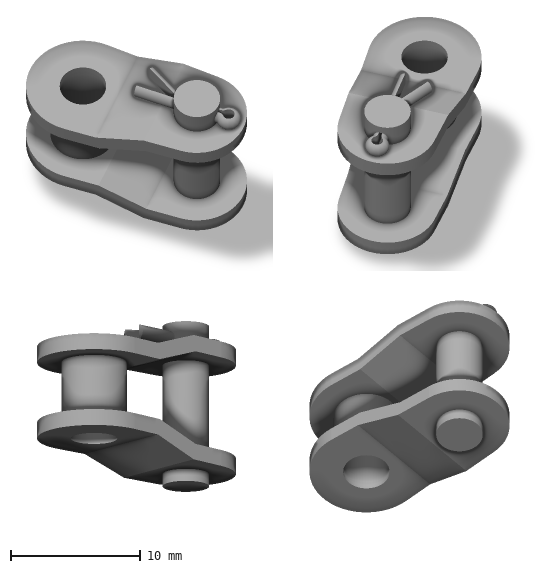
import cadquery as cq
import math

overall_length = 17.79
overall_width = 8.8
pitch = 9.52

plate_thickness = 1.26
wide_end_radius = overall_width / 2
narrow_end_radius = overall_length - pitch - wide_end_radius
bend_start_x = 2.83
bend_end_x = 6.72
plate_rise = 1.3

bushing_height = 4.77
bushing_radius = 2.53
bore_radius = 1.8

pin_radius = 1.8
pin_bottom_z = -5.9
pin_height = 12.7

wire_radius = 0.6
leg_flat_offset = 0.133
straight_leg_reach = 3.2
spread_leg_reach = 3.33
leg_spread_angle = 30.0
eye_outer_radius = 0.93
eye_offset = 2.65
eye_bend_clearance = 0.02

inner_face_z = bushing_height / 2
outer_face_z = inner_face_z + plate_thickness
cotter_z = outer_face_z + plate_rise + wire_radius
eye_bend_y = wire_radius + eye_bend_clearance
eye_bend_distance = eye_outer_radius + eye_bend_clearance
eye_joint_angle = math.degrees(math.asin(eye_bend_y / eye_bend_distance))
leg_end_x = eye_offset - eye_bend_distance * math.cos(math.radians(eye_joint_angle))


def make_plate():
    """Upper cranked plate with a bore at each end."""
    bend_angle = math.atan2(plate_rise, bend_end_x - bend_start_x)
    bend_shift = plate_thickness * math.tan(bend_angle / 2)
    start_x = -wide_end_radius
    end_x = pitch + narrow_end_radius
    side_profile = (
        cq.Workplane("XZ")
        .moveTo(start_x, inner_face_z)
        .lineTo(bend_start_x + bend_shift, inner_face_z)
        .lineTo(bend_end_x + bend_shift, inner_face_z + plate_rise)
        .lineTo(end_x, inner_face_z + plate_rise)
        .lineTo(end_x, outer_face_z + plate_rise)
        .lineTo(bend_end_x, outer_face_z + plate_rise)
        .lineTo(bend_start_x, outer_face_z)
        .lineTo(start_x, outer_face_z)
        .close()
        .extrude(wide_end_radius, both=True)
    )

    taper_sine = (wide_end_radius - narrow_end_radius) / pitch
    taper_cosine = math.sqrt(1 - taper_sine**2)
    wide_x = wide_end_radius * taper_sine
    wide_y = wide_end_radius * taper_cosine
    narrow_x = pitch + narrow_end_radius * taper_sine
    narrow_y = narrow_end_radius * taper_cosine
    plan = (
        cq.Workplane("XY")
        .moveTo(wide_x, wide_y)
        .threePointArc((start_x, 0), (wide_x, -wide_y))
        .lineTo(narrow_x, -narrow_y)
        .threePointArc((end_x, 0), (narrow_x, narrow_y))
        .close()
        .extrude(outer_face_z + plate_rise)
    )
    bushing_bore = cq.Workplane("XY").circle(bore_radius).extrude(pin_height)
    pin_bore = cq.Workplane("XY").center(pitch, 0).circle(pin_radius).extrude(pin_height)
    return side_profile.intersect(plan).cut(bushing_bore).cut(pin_bore)


def make_bushing():
    """Plain tube held between the plates."""
    return (
        cq.Workplane("XY")
        .workplane(offset=-inner_face_z)
        .circle(bushing_radius)
        .circle(bore_radius)
        .extrude(bushing_height)
    )


def wire_section(x):
    """Circular segment on the +Y side of the cotter centre plane, normal to X."""
    half_chord = math.sqrt(wire_radius**2 - leg_flat_offset**2)
    return (
        cq.Workplane("YZ", origin=(x, 0, 0))
        .moveTo(leg_flat_offset, -half_chord)
        .threePointArc((wire_radius, 0), (leg_flat_offset, half_chord))
        .close()
    )


def make_leg(reach, spread_angle):
    """Leg on the +Y side, bent outward at the pin surface, with its bend into the eye."""
    inside = wire_section(-pin_radius).extrude(pin_radius + leg_end_x)
    outside = (
        wire_section(-pin_radius)
        .extrude(-reach)
        .rotate(
            (-pin_radius, leg_flat_offset, 0),
            (-pin_radius, leg_flat_offset, 1),
            -spread_angle,
        )
    )
    eye_bend = wire_section(leg_end_x).revolve(
        90 - eye_joint_angle, (eye_bend_y, 0), (eye_bend_y, 1)
    )
    return inside.union(outside).union(eye_bend)


def make_eye():
    """Open ring of the wire section, with its gap facing the pin."""
    eye_axis_y = wire_radius - eye_outer_radius
    ring_angle = 360 - 2 * eye_joint_angle
    return (
        wire_section(eye_offset)
        .revolve(ring_angle, (eye_axis_y, 0), (eye_axis_y, -1))
        .translate((0, -eye_axis_y, 0))
        .rotate((eye_offset, 0, 0), (eye_offset, 0, 1), 90 - eye_joint_angle)
    )


def make_cotter():
    """Split cotter with one straight leg and one spread leg."""
    spread_leg = make_leg(spread_leg_reach, leg_spread_angle)
    straight_leg = make_leg(straight_leg_reach, 0).mirror("XZ")
    cotter = make_eye().union(spread_leg).union(straight_leg)
    return cotter.translate((pitch, 0, cotter_z))


def make_pin(cotter):
    """Cylindrical pin with a cross hole that the cotter fits."""
    pin = (
        cq.Workplane("XY", origin=(pitch, 0, pin_bottom_z))
        .circle(pin_radius)
        .extrude(pin_height)
    )
    cross_hole = (
        cq.Workplane("YZ", origin=(pitch, 0, cotter_z))
        .circle(wire_radius)
        .extrude(2 * pin_radius, both=True)
    )
    return pin.cut(cross_hole).cut(cotter)


upper_plate = make_plate()
bushing = make_bushing()
cotter = make_cotter()

pin_plate = make_plate().mirror("XY").union(make_pin(cotter))

result = cq.Compound.makeCompound(
    [upper_plate.val(), pin_plate.val(), bushing.val(), cotter.val()]
)